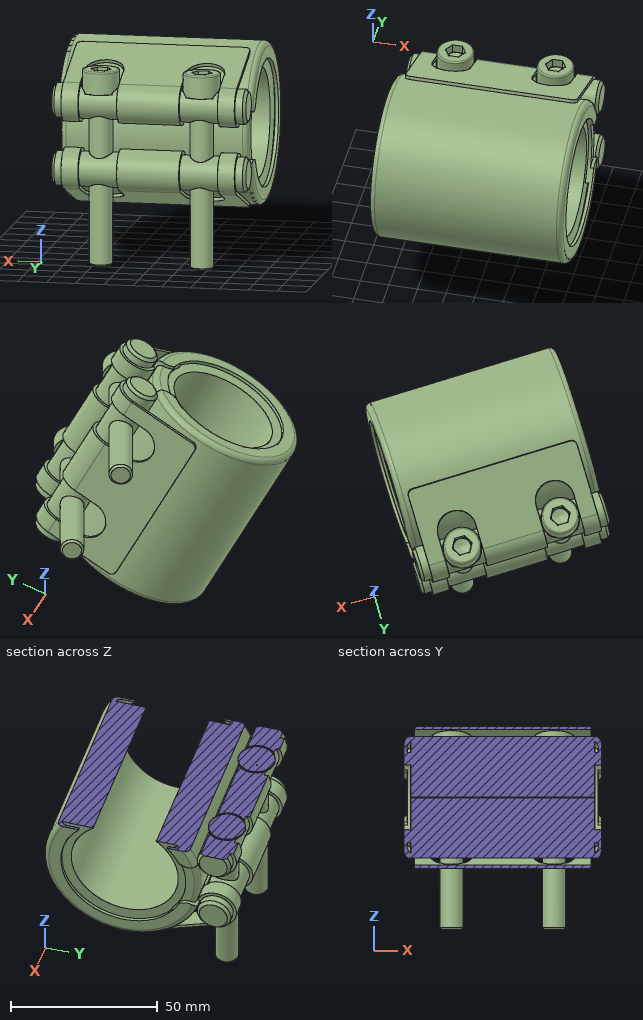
import cadquery as cq
import math


sheet = 1.2
length = 67.4
casing_radius = 28.2
bore_radius = 19.0
mouth_radius = 22.0
edge_round = 1.9
strip_overlap_angle = 39.0
gap_lip_out = (26.35, 9.6)
gap_lip_mid = (22.55, 8.35)
gap_lip_in = (20.0, 9.4)

pin_radius = 6.0
pin_chamfer = 1.0
pin_y = 32.2
pin_z = 11.8
strap_width = 60.2
strap_overrun = 0.7
strap_corner = 2.0
slot_width = 13.4
slot_center_y = 26.0

bolt_x = 17.5
bolt_radius = 4.0
bolt_tip_chamfer = 0.7
bolt_bottom_z = casing_radius - 73.2
head_radius = 6.4
head_bottom_z = 15.1
head_height = 8.0
head_round = 0.5
seat_radius = 6.65
hex_flats = 6.0
hex_depth = 3.0
hex_cone_depth = 1.5

center_distance = math.hypot(pin_y, pin_z)
center_angle = math.atan2(pin_z, pin_y)
strap_tilt = math.asin((casing_radius - pin_radius) / center_distance) - center_angle
normal_y = math.sin(strap_tilt)
normal_z = math.cos(strap_tilt)


def x_cylinder(radius, span):
    """Cylinder on the X axis, centred on the origin."""
    return cq.Workplane("YZ").circle(radius).extrude(span / 2, both=True)


def rounded_drum(radius, span):
    """Cylinder on the X axis with both rims rounded."""
    return x_cylinder(radius, span).faces("<X or >X").edges().fillet(edge_round)


def gap_region():
    """Space between the two casing ends on the +Y side."""
    reach = casing_radius + sheet
    lip_in_y, lip_in_z = gap_lip_in
    return (
        cq.Workplane("YZ")
        .moveTo(reach, gap_lip_out[1])
        .lineTo(*gap_lip_out)
        .threePointArc(gap_lip_mid, gap_lip_in)
        .lineTo(0, 0)
        .lineTo(lip_in_y, -lip_in_z)
        .threePointArc((gap_lip_mid[0], -gap_lip_mid[1]), (gap_lip_out[0], -gap_lip_out[1]))
        .lineTo(reach, -gap_lip_out[1])
        .close()
        .extrude(length, both=True)
    )


def sleeve():
    strip_length = length - 2 * sheet
    casing = rounded_drum(casing_radius, length).cut(gap_region())
    strip_core = rounded_drum(casing_radius - sheet, strip_length)
    body = casing.union(strip_core)

    seal_length = strip_length - 2 * sheet
    overlap = math.radians(strip_overlap_angle)
    wedge_z = casing_radius * math.tan(overlap)
    strip_wedge = (
        cq.Workplane("YZ")
        .polyline([(0, 0), (casing_radius, wedge_z), (casing_radius, -wedge_z)])
        .close()
        .extrude(length, both=True)
    )
    seal = x_cylinder(casing_radius, seal_length)
    void = strip_core.cut(seal).cut(strip_wedge)
    mouth = x_cylinder(mouth_radius, length).cut(seal)
    return body.cut(void).cut(mouth).cut(x_cylinder(bore_radius, length))


def pin_point(radius, angle):
    """(Y, Z) point around the upper pin axis."""
    return (pin_y + radius * math.cos(angle), pin_z + radius * math.sin(angle))


def strap():
    """Upper strap: leaves the casing, rolls around the pin and lies back on the casing."""
    roll_radius = pin_radius + sheet
    start = center_angle - math.pi
    finish = math.pi / 2 - strap_tilt
    middle = (start + finish) / 2
    tip_y = casing_radius * normal_y - strap_overrun * normal_z
    tip_z = casing_radius * normal_z + strap_overrun * normal_y
    band = (
        cq.Workplane("YZ")
        .moveTo(*pin_point(pin_radius, start))
        .threePointArc(pin_point(pin_radius, middle), pin_point(pin_radius, finish))
        .lineTo(tip_y, tip_z)
        .lineTo(tip_y + sheet * normal_y, tip_z + sheet * normal_z)
        .lineTo(*pin_point(roll_radius, finish))
        .threePointArc(pin_point(roll_radius, middle), pin_point(roll_radius, start))
        .close()
        .extrude(strap_width / 2, both=True)
    )
    normal = cq.Vector(0, normal_y, normal_z)
    band = band.edges(cq.selectors.ParallelDirSelector(normal)).edges("<Y").fillet(strap_corner)

    slot_center_z = (casing_radius - slot_center_y * normal_y) / normal_z
    plane = cq.Plane((0, slot_center_y, slot_center_z), (1, 0, 0), normal.toTuple())
    cut_reach = 4 * roll_radius
    for x in (-bolt_x, bolt_x):
        slot_end = cq.Workplane(plane).center(x, 0).circle(slot_width / 2)
        slot_run = cq.Workplane(plane).center(x, cut_reach / 2).rect(slot_width, cut_reach)
        band = band.cut(slot_end.extrude(cut_reach, both=True))
        band = band.cut(slot_run.extrude(cut_reach, both=True))
    return band


def pin(z):
    return x_cylinder(pin_radius, length).edges().chamfer(pin_chamfer).translate((0, pin_y, z))


def z_cylinder(x, bottom_z, radius, height):
    return cq.Workplane("XY", origin=(x, pin_y, bottom_z)).circle(radius).extrude(height)


def bolt(x):
    head_top_z = head_bottom_z + head_height
    shank = z_cylinder(x, bolt_bottom_z, bolt_radius, head_bottom_z - bolt_bottom_z)
    head = z_cylinder(x, head_bottom_z, head_radius, head_height)
    shank = shank.faces("<Z").chamfer(bolt_tip_chamfer)
    head = head.faces(">Z").fillet(head_round)
    hex_corners = hex_flats / math.cos(math.pi / 6)
    socket = (
        cq.Workplane("XY", origin=(x, pin_y, head_top_z)).polygon(6, hex_corners).extrude(-hex_depth)
    )
    cone = cq.Solid.makeCone(
        hex_flats / 2, 0, hex_cone_depth,
        cq.Vector(x, pin_y, head_top_z - hex_depth), cq.Vector(0, 0, -1),
    )
    return shank.union(head).cut(socket).cut(cq.Workplane(cone))


upper_strap = strap()
upper_pin = pin(pin_z)
for x in (-bolt_x, bolt_x):
    upper_pin = upper_pin.cut(z_cylinder(x, head_bottom_z, seat_radius, head_height))

result = sleeve().union(upper_strap).union(upper_strap.mirror("XY"))
result = result.union(upper_pin).union(pin(-pin_z))
for x in (-bolt_x, bolt_x):
    result = result.union(bolt(x))